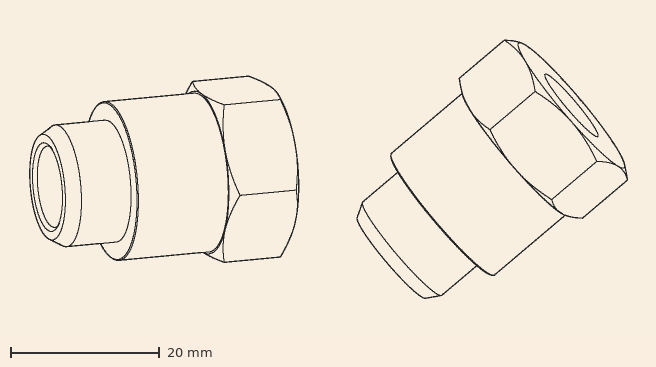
import cadquery as cq
import math

hex_sides = 6
hex_across_flats = 22.0
hex_length = 10.0
collar_diameter = 21.5
collar_length = 13.0
collar_edge_chamfer = 0.15
nose_diameter = 16.5
nose_length = 9.0
nose_tip_diameter = 14.3
bore_diameter = 11.0
bore_mouth_diameter = 12.0
chamfer_angle = math.radians(30)
bore_mouth_angle = math.radians(45)

total_length = nose_length + collar_length + hex_length
collar_start = nose_length
hex_start = collar_start + collar_length
hex_across_corners = hex_across_flats / math.cos(math.pi / hex_sides)


def turned(profile):
    """Revolve a closed (radius, y) profile about the Y axis."""
    return cq.Workplane("XY").polyline(profile).close().revolve(360, (0, 0, 0), (0, 1, 0))


def hex_head():
    """Hexagonal prism with its corners turned down conically at both ends."""
    prism = (
        cq.Workplane("XZ", origin=(0, total_length, 0))
        .polygon(hex_sides, hex_across_corners)
        .extrude(hex_length)
    )
    face_radius = hex_across_flats / 2
    corner_radius = hex_across_corners / 2
    corner_drop = (corner_radius - face_radius) * math.tan(chamfer_angle)
    envelope = turned([
        (0, hex_start),
        (face_radius, hex_start),
        (corner_radius, hex_start + corner_drop),
        (corner_radius, total_length - corner_drop),
        (face_radius, total_length),
        (0, total_length),
    ])
    return prism.intersect(envelope)


def collar_and_nose():
    """Round collar with a broken front edge, and the narrower nose with a tapered tip."""
    collar_radius = collar_diameter / 2
    nose_radius = nose_diameter / 2
    tip_radius = nose_tip_diameter / 2
    tip_length = (nose_radius - tip_radius) / math.tan(chamfer_angle)
    return turned([
        (0, 0),
        (tip_radius, 0),
        (nose_radius, tip_length),
        (nose_radius, collar_start),
        (collar_radius - collar_edge_chamfer, collar_start),
        (collar_radius, collar_start + collar_edge_chamfer),
        (collar_radius, hex_start),
        (0, hex_start),
    ])


def bore():
    """Through bore with a countersunk mouth at the nose tip."""
    bore_radius = bore_diameter / 2
    mouth_radius = bore_mouth_diameter / 2
    mouth_depth = (mouth_radius - bore_radius) / math.tan(bore_mouth_angle)
    return turned([
        (0, 0),
        (mouth_radius, 0),
        (bore_radius, mouth_depth),
        (bore_radius, total_length),
        (0, total_length),
    ])


result = hex_head().union(collar_and_nose()).cut(bore())